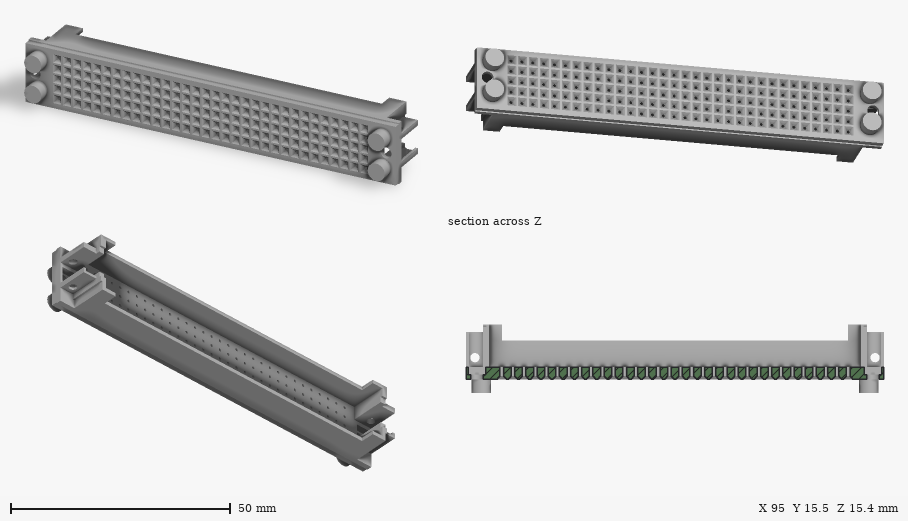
import cadquery as cq

length = 95.0
height = 15.4
depth = 15.5

peg_length = 3.0
flange_thickness = 2.85
lip_length = 1.5
lip_step = 0.3
face_y = peg_length - depth
flange_rear_y = face_y + flange_thickness
wall_rear_y = -3.6
ear_rear_y = -1.6
rail_rear_y = -0.6

fitting_z = 0.3

body_length = 87.4
lug_length = 4.4
wall = 0.95
end_wall = 1.4
end_opening = 5.7
end_step = 0.5
end_step_height = 2.3

ear_thickness = 1.4
ear_rim = 0.7
ear_recess = 0.8
ear_span = end_opening + 2 * ear_thickness
ear_hole_diameter = 2.1
ear_hole_x = 45.5
ear_hole_y = -7.5

peg_diameter = 4.4
peg_x = 44.1
peg_spacing = 7.6
mount_hole_diameter = 2.8
mount_hole_x = 45.0
pocket_width = 3.8
pocket_height = 3.8
pocket_front_wall = 1.1

columns = 32
rows = 5
grid_length = 81.3
pitch = grid_length / columns
funnel_size = 2.1
funnel_floor = 0.71
funnel_depth = 0.8
contact_hole_diameter = 0.7


def block(width, rear_y, tall, center_z=0.0, front_y=flange_rear_y):
    """Box centred on X, from front_y back to rear_y."""
    middle = (0, (front_y + rear_y) / 2, center_z)
    return cq.Workplane("XY").box(width, rear_y - front_y, tall).translate(middle)


def make_flange():
    """Front plate with a small step along its top and bottom edges."""
    lip_rear_y = face_y + lip_length
    lip = block(length, lip_rear_y, height - 2 * lip_step, front_y=face_y)
    return lip.union(block(length, flange_rear_y, height, front_y=lip_rear_y))


def make_body():
    """Thin-walled shell with open rear, four rear lugs and open ends."""
    inner_length = body_length - 2 * lug_length
    body = block(body_length, 0, height)
    body = body.cut(block(inner_length, 0, height, front_y=wall_rear_y))
    body = body.cut(block(body_length - 2 * end_wall, 0, height - 2 * wall))
    body = body.cut(block(body_length, 0, end_opening, fitting_z))
    body = body.cut(block(body_length, 0, ear_span, fitting_z, front_y=rail_rear_y))
    step_z = (end_step_height - height) / 2
    set_back = block(body_length, 0, end_step_height, step_z)
    return body.cut(set_back.cut(block(body_length - 2 * end_step, 0, end_step_height, step_z)))


def make_ears():
    """Pair of drilled plates reaching out from each end of the body."""
    ears = block(length, ear_rear_y, ear_span, fitting_z)
    ears = ears.cut(block(length, ear_rear_y, end_opening, fitting_z))
    recess_z = fitting_z - (end_opening + ear_recess) / 2
    ears = ears.cut(block(length - 2 * ear_rim, ear_rear_y, ear_recess, recess_z))
    ears = ears.cut(block(body_length, ear_rear_y, ear_span, fitting_z))
    holes = cq.Workplane("XY").pushPoints([(-ear_hole_x, ear_hole_y), (ear_hole_x, ear_hole_y)])
    return ears.cut(holes.circle(ear_hole_diameter / 2).extrude(height, both=True))


def face_plane(center_z=0.0):
    """Workplane on the front face, with its normal towards -Y."""
    return cq.Workplane("XZ", origin=(0, face_y, center_z))


def make_pegs():
    """Two round pegs near each end of the front face."""
    corners = face_plane(fitting_z).rect(2 * peg_x, peg_spacing, forConstruction=True).vertices()
    return corners.circle(peg_diameter / 2).extrude(peg_length)


def make_mount_holes():
    """Cutters for the holes between the pegs, each opening into a pocket at the flange rear."""
    centers = face_plane(fitting_z).pushPoints([(-mount_hole_x, 0), (mount_hole_x, 0)])
    holes = centers.circle(mount_hole_diameter / 2).extrude(-flange_thickness)
    pockets = centers.rect(pocket_width, pocket_height).extrude(-flange_thickness)
    return holes.union(pockets.cut(block(length, face_y + pocket_front_wall, height, front_y=face_y)))


def make_contact_holes():
    """Grid of cutters: a square funnel leading into a round through hole."""
    mouth = face_plane().rect(funnel_size, funnel_size)
    funnel = mouth.workplane(offset=-funnel_depth).rect(funnel_floor, funnel_floor).loft(ruled=True)
    bore = face_plane().circle(contact_hole_diameter / 2).extrude(-flange_thickness)
    cutter = funnel.union(bore).val()
    cutters = []
    for column in range(columns):
        for row in range(rows):
            x = (column - (columns - 1) / 2) * pitch
            z = (row - (rows - 1) / 2) * pitch
            cutters.append(cutter.translate(cq.Vector(x, 0, z)))
    return cq.Workplane(obj=cq.Compound.makeCompound(cutters))


result = make_flange().union(make_body()).union(make_ears()).union(make_pegs())
result = result.cut(make_mount_holes()).cut(make_contact_holes())